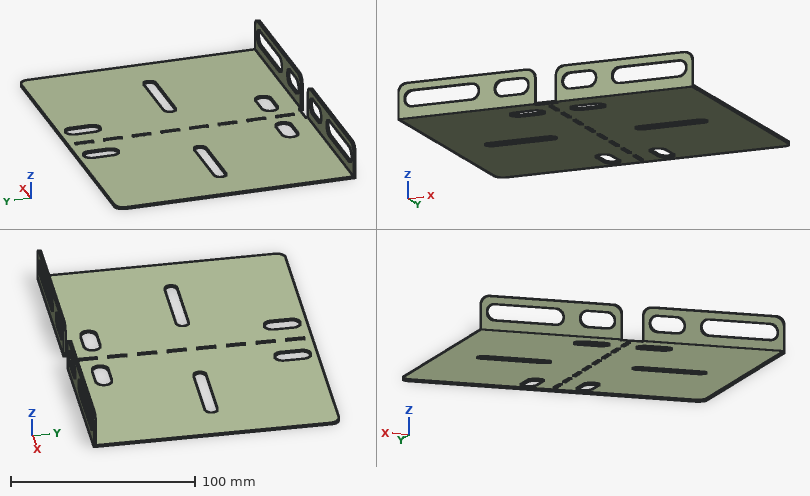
import cadquery as cq

width = 174.0
depth = 136.0
height = 20.0
sheet = 1.2
corner_radius = 5.0

tab_gap = 12.4
notch_depth = 2.3

slot_width = 9.0
slot_length = 20.0

back_slot_x = 16.0
back_slot_y = 122.3
front_slot_x = 18.0
front_slot_y = 16.9
middle_slot_x = 44.5
middle_slot_y = 69.3
middle_slot_length = 42.0
middle_slot_width = 7.0

tab_slot_z = 11.1
short_tab_slot_x = 20.0
long_tab_slot_x = 61.5
long_tab_slot_length = 44.0

perforation_count = 8
perforation_length = 10.0
perforation_width = 1.5
perforation_pitch = 16.4
first_perforation_y = 12.2


def mirrored(x, y):
    """Return two points placed symmetrically about X = 0."""
    return [(-x, y), (x, y)]


def make_base():
    plate = cq.Workplane("XY").box(width, depth, sheet, centered=(True, False, False))
    plate = plate.edges("|Z and >Y").fillet(corner_radius)
    notch = cq.Workplane("XY").box(tab_gap, notch_depth, sheet, centered=(True, False, False))
    return plate.cut(notch)


def make_tabs():
    tab_width = (width - tab_gap) / 2
    tab_x = (width + tab_gap) / 4
    tab = cq.Workplane("XY").box(tab_width, sheet, height, centered=(True, False, False))
    tab = tab.edges("|Y and >Z").fillet(corner_radius)
    return tab.translate((-tab_x, 0, 0)).union(tab.translate((tab_x, 0, 0)))


def cut_base_slots(body):
    slots = [
        (back_slot_x, back_slot_y, slot_length, slot_width, 90),
        (front_slot_x, front_slot_y, slot_length, slot_width, 0),
        (middle_slot_x, middle_slot_y, middle_slot_length, middle_slot_width, 0),
    ]
    for x, y, length, breadth, angle in slots:
        sketch = cq.Workplane("XY").pushPoints(mirrored(x, y)).slot2D(length, breadth, angle)
        body = body.cut(sketch.extrude(sheet))
    return body


def cut_tab_slots(body):
    slots = [
        (short_tab_slot_x, slot_length),
        (long_tab_slot_x, long_tab_slot_length),
    ]
    for x, length in slots:
        sketch = cq.Workplane("XZ").pushPoints(mirrored(x, tab_slot_z)).slot2D(length, slot_width)
        body = body.cut(sketch.extrude(-sheet))
    return body


def cut_perforations(body):
    centres = [(0, first_perforation_y + i * perforation_pitch) for i in range(perforation_count)]
    sketch = cq.Workplane("XY").pushPoints(centres).rect(perforation_width, perforation_length)
    return body.cut(sketch.extrude(sheet))


bracket = make_base().union(make_tabs())
bracket = cut_base_slots(bracket)
bracket = cut_tab_slots(bracket)
result = cut_perforations(bracket)